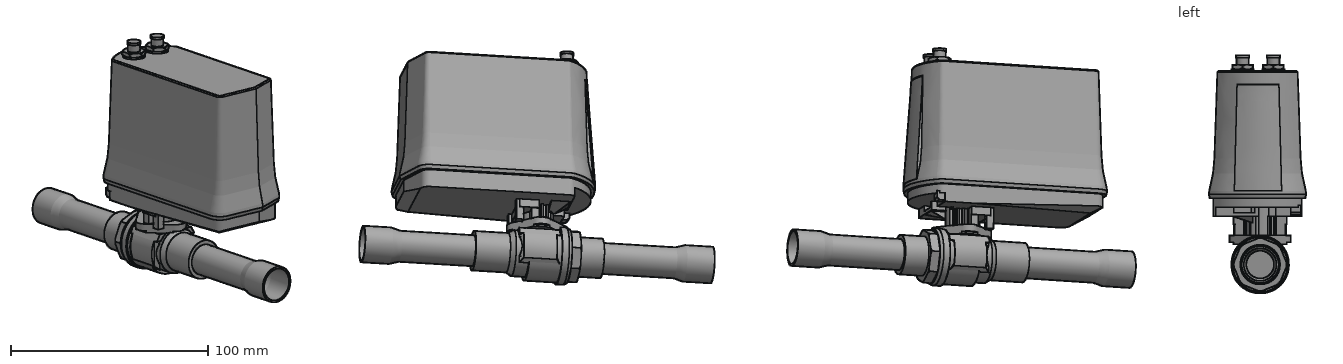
import cadquery as cq
import math


PIPE_HALF_LENGTH = 90.0
SOCKET_RADIUS = 9.35
SOCKET_BORE_RADIUS = 8.3
SOCKET_LENGTH = 14.2
SOCKET_TAPER_LENGTH = 4.9
TUBE_RADIUS = 7.94
TUBE_BORE_RADIUS = 7.0
SLEEVE_RADIUS = 10.1
SLEEVE_END_X = 33.0
BORE_END_X = 15.0

NUT_LEFT_X = -20.6
NUT_RIGHT_X = -15.8
NUT_CORNER_DIAMETER = 27.6
NUT_SIDES = 8
NUT_EDGE_CHAMFER = 0.5
FLANGE_RADIUS = 14.65
FLANGE_EDGE_RADIUS = 13.9
FLANGE_EDGE_X = -14.1
FLANGE_RIGHT_X = -10.6
BODY_RADIUS = 13.7
BODY_RIGHT_X = 5.9
NECKED_RADIUS = 11.8
NECKED_RIGHT_X = 12.7
BODY_END_X = 15.4
PAD_RADIUS = 14.2
PAD_LEFT_X = -8.0
PAD_RIGHT_X = 9.0
PAD_HALF_HEIGHT = 6.6
PAD_BEVEL = 2.0
SHOULDER_HALF_WIDTH = 10.4

PLATE_TOP_Z = 14.8
PLATE_EAR_Z = 11.2
PLATE_BOTTOM_Z = 10.2
PLATE_EAR_REACH = 15.6
PLATE_CORNER_RADIUS = 5.2
PLATE_LOWER_HALF_WIDTH = 13.6
NECK_RADIUS = 8.3
NECK_SLOT_WIDTH = 1.6
NECK_SLOT_DEPTH = 1.5
NECK_SLOT_SPACING = 2.7
NECK_NOSE_SLOTS_Y = (1.5, -4.6)
NECK_POST_LEFT_X = 9.3
NECK_POST_RIGHT_X = 12.9
NECK_POST_INNER_Y = 9.6
NECK_POST_OUTER_Y = 13.3
NECK_ARM_BOTTOM_Z = 20.4
NECK_ARM_OUTER_Y = 13.6
NECK_ARM_LEFT_X = 1.2
NECK_ARM_RIGHT_X = 11.2
NECK_LEG_RIGHT_X = 4.9
NECK_LEG_OUTER_Y = 12.8
NECK_WEB_LEFT_X = -15.0
NECK_WEB_RIGHT_X = -5.0
NECK_WEB_DROP = 3.4
NECK_WEB_Y = (3.7, 14.0)

NOSE_RADIUS = 29.6
REAR_X = 71.9
FRONT_Y = -23.4
BACK_Y = 26.1
REAR_BEVEL_START_X = 63.6
REAR_BEVEL_END_Y = 6.3
PLAN_CORNER_RADIUS = 6.5

COVER_TOP_Z = 98.25
COVER_RIM_Z = 35.6
COVER_PROFILE = (
    (33.6, 0.5),
    (COVER_RIM_Z, 0.0),
    (37.4, 0.2),
    (46.1, 2.1),
    (53.7, 2.8),
    (COVER_TOP_Z, 4.35),
)
ROOF_EDGE_CHAMFER = 0.7
BASE_TOP_Z = COVER_RIM_Z
BASE_INSET = 2.2
BASE_STEP_Z = 29.0
BASE_STEP_X = -15.5
BASE_BOTTOM_Z = 24.5
BASE_REAR_BEVEL_LENGTH = 6.0
BASE_REAR_BEVEL_HEIGHT = 3.0
BASE_FRONT_BEVEL_START_X = 0.0
BASE_FRONT_BEVEL_DEPTH = 6.0
OPEN_POCKET_Y = (-8.0, 0.8)
CLOSED_POCKET_Y = (2.8, 13.4)
CLOSED_POCKET_BOTTOM_Z = 26.2
POCKET_END_X = -7.0
LUG_LEFT_X = -19.5
LUG_BOTTOM_Z = 25.3
LUG_Y = (-20.5, -15.5)
LUG_CHAMFER = 1.2

PANEL_TOP_Z = 92.0
PANEL_FOLD_Z = 83.0
PANEL_BOTTOM_Z = 37.4
PANEL_TOP_RADIUS = 25.7
PANEL_FOLD_RADIUS = 26.2
PANEL_TOP_BEVEL_DEPTH = 0.4
PANEL_TOP_BEVEL_HEIGHT = 0.9
PANEL_CENTRE_Y = 1.1
PANEL_TOP_HALF_WIDTH = 10.6
PANEL_BOTTOM_HALF_WIDTH = 12.0

CONNECTOR_X = -13.8
CONNECTOR_YS = (8.9, -6.7)
CONNECTOR_TOP_Z = 106.2
CONNECTOR_LIP_RADIUS = 3.45
CONNECTOR_LIP_HEIGHT = 1.2
CONNECTOR_STEM_RADIUS = 3.15
CONNECTOR_NUT_DIAMETER = 12.3
CONNECTOR_NUT_SIDES = 6
CONNECTOR_NUT_BOTTOM_Z = 99.2
CONNECTOR_NUT_TOP_Z = 101.3
CONNECTOR_NUT_CHAMFER = 0.6
CONNECTOR_WASHER_RADIUS = 5.7
EMBED = 1.0


def box(x_range, y_range, z_range):
    """Box given by its extents along the three axes."""
    sizes = [high - low for low, high in (x_range, y_range, z_range)]
    corner = (x_range[0], y_range[0], z_range[0])
    return cq.Workplane("XY").box(*sizes, centered=False).translate(corner)


def disc(radius, bottom, top):
    """Upright cylinder on the stem axis."""
    return cq.Workplane("XY").workplane(offset=bottom).circle(radius).extrude(top - bottom)


def bar(radius, left, right):
    """Cylinder along the pipe axis."""
    return cq.Workplane("YZ").workplane(offset=left).circle(radius).extrude(right - left)


def turned(points):
    """Solid turned about the pipe axis from (x, radius) points."""
    outline = [(points[0][0], 0), *points, (points[-1][0], 0)]
    return cq.Workplane("XY").polyline(outline).close().revolve(360, (0, 0, 0), (1, 0, 0))


def tetrahedron(corners):
    """Solid with four triangular faces, each face leaving out one of the corners."""
    faces = []
    for left_out in corners:
        triangle = [corner for corner in corners if corner is not left_out]
        faces.append(cq.Face.makeFromWires(cq.Wire.makePolygon(triangle, close=True)))
    return cq.Workplane(obj=cq.Solid.makeSolid(cq.Shell.makeShell(faces)))


def pipe_half():
    """Tube, swaged socket and sleeve on the +X side, not yet bored."""
    socket_x = PIPE_HALF_LENGTH - SOCKET_LENGTH
    taper_x = socket_x - SOCKET_TAPER_LENGTH
    return turned([
        (0, SLEEVE_RADIUS),
        (SLEEVE_END_X, SLEEVE_RADIUS),
        (SLEEVE_END_X, TUBE_RADIUS),
        (taper_x, TUBE_RADIUS),
        (socket_x, SOCKET_RADIUS),
        (PIPE_HALF_LENGTH, SOCKET_RADIUS),
    ])


def pipe_bore():
    """Bore of the +X pipe half, widened in the socket."""
    socket_x = PIPE_HALF_LENGTH - SOCKET_LENGTH
    return turned([
        (BORE_END_X, TUBE_BORE_RADIUS),
        (socket_x - SOCKET_TAPER_LENGTH, TUBE_BORE_RADIUS),
        (socket_x, SOCKET_BORE_RADIUS),
        (PIPE_HALF_LENGTH, SOCKET_BORE_RADIUS),
    ])


def union_nut():
    nut = (
        cq.Workplane("YZ").workplane(offset=NUT_LEFT_X)
        .polygon(NUT_SIDES, NUT_CORNER_DIAMETER)
        .extrude(NUT_RIGHT_X - NUT_LEFT_X)
    )
    corner = NUT_CORNER_DIAMETER / 2
    envelope = turned([
        (NUT_LEFT_X, corner - NUT_EDGE_CHAMFER),
        (NUT_LEFT_X + NUT_EDGE_CHAMFER, corner),
        (NUT_RIGHT_X, corner),
    ])
    return nut.intersect(envelope)


def valve_body():
    """Flange and ball chamber turned about the pipe, with raised side pads under a sloping shoulder."""
    body = turned([
        (NUT_RIGHT_X, FLANGE_EDGE_RADIUS),
        (FLANGE_EDGE_X, FLANGE_RADIUS),
        (FLANGE_RIGHT_X, FLANGE_RADIUS),
        (FLANGE_RIGHT_X, BODY_RADIUS),
        (BODY_RIGHT_X, BODY_RADIUS),
        (BODY_RIGHT_X, NECKED_RADIUS),
        (NECKED_RIGHT_X, NECKED_RADIUS),
        (BODY_END_X, SLEEVE_RADIUS),
    ])
    envelope = bar(PAD_RADIUS, FLANGE_RIGHT_X, NECKED_RIGHT_X)
    pad_edge_y = math.sqrt(PAD_RADIUS**2 - PAD_HALF_HEIGHT**2)
    length = PAD_RIGHT_X - PAD_LEFT_X
    middle_x = (PAD_LEFT_X + PAD_RIGHT_X) / 2
    for side in (-1, 1):
        pad = (
            cq.Workplane("XZ").workplane(offset=side * (pad_edge_y - PAD_BEVEL))
            .center(middle_x, 0)
            .rect(length + 2 * PAD_BEVEL, 2 * (PAD_HALF_HEIGHT + PAD_BEVEL))
            .workplane(offset=side * PAD_BEVEL)
            .rect(length, 2 * PAD_HALF_HEIGHT)
            .workplane(offset=side * (PAD_RADIUS - pad_edge_y))
            .rect(length, 2 * PAD_HALF_HEIGHT)
            .loft(ruled=True)
        )
        body = body.union(pad.intersect(envelope))
    shoulder = (
        cq.Workplane("YZ").workplane(offset=PAD_LEFT_X - PAD_BEVEL)
        .polyline([
            (-pad_edge_y, PAD_HALF_HEIGHT),
            (pad_edge_y, PAD_HALF_HEIGHT),
            (SHOULDER_HALF_WIDTH, PLATE_BOTTOM_Z),
            (-SHOULDER_HALF_WIDTH, PLATE_BOTTOM_Z),
        ])
        .close()
        .extrude(length + 2 * PAD_BEVEL)
    )
    return body.union(shoulder)


def mounting_plate():
    """Square plate turned by 45 degrees, with a rounded ear at each corner."""
    corner_reach = PLATE_EAR_REACH + PLATE_CORNER_RADIUS * (math.sqrt(2) - 1)
    side = corner_reach * math.sqrt(2)
    plate = (
        cq.Workplane("XY").workplane(offset=PLATE_BOTTOM_Z)
        .transformed(rotate=(0, 0, 45))
        .rect(side, side)
        .extrude(PLATE_TOP_Z - PLATE_BOTTOM_Z)
        .edges("|Z").fillet(PLATE_CORNER_RADIUS)
    )
    ears = (-PLATE_EAR_REACH, PLATE_EAR_REACH)
    upper = box(ears, ears, (PLATE_EAR_Z, PLATE_TOP_Z))
    inner = (-PLATE_LOWER_HALF_WIDTH, PLATE_LOWER_HALF_WIDTH)
    lower = box(inner, inner, (PLATE_BOTTOM_Z, PLATE_TOP_Z))
    return plate.intersect(upper.union(lower))


def neck():
    """Slotted stem housing, an arm with a leg and a post on each side, and a sloping web."""
    top = BASE_STEP_Z
    heights = (PLATE_TOP_Z - EMBED, top)
    stem = disc(NECK_RADIUS, *heights)
    for position in (-2, -1, 0):
        centre = position * NECK_SLOT_SPACING
        slot_x = (centre - NECK_SLOT_WIDTH / 2, centre + NECK_SLOT_WIDTH / 2)
        for side in (-1, 1):
            surface = side * math.sqrt(NECK_RADIUS**2 - centre**2)
            slot_y = sorted((surface - side * NECK_SLOT_DEPTH, side * NECK_RADIUS))
            stem = stem.cut(box(slot_x, slot_y, (PLATE_TOP_Z, BASE_BOTTOM_Z)))
    for centre in NECK_NOSE_SLOTS_Y:
        slot_y = (centre - NECK_SLOT_WIDTH / 2, centre + NECK_SLOT_WIDTH / 2)
        surface = -math.sqrt(NECK_RADIUS**2 - centre**2)
        slot_x = (-NECK_RADIUS, surface + NECK_SLOT_DEPTH)
        stem = stem.cut(box(slot_x, slot_y, (PLATE_TOP_Z, BASE_BOTTOM_Z)))
    for side in (-1, 1):
        post_y = sorted((side * NECK_POST_INNER_Y, side * NECK_POST_OUTER_Y))
        stem = stem.union(box((NECK_POST_LEFT_X, NECK_POST_RIGHT_X), post_y, heights))
        arm_y = sorted((0, side * NECK_ARM_OUTER_Y))
        stem = stem.union(box((NECK_ARM_LEFT_X, NECK_ARM_RIGHT_X), arm_y, (NECK_ARM_BOTTOM_Z, top)))
        leg_y = sorted((0, side * NECK_LEG_OUTER_Y))
        stem = stem.union(box((NECK_ARM_LEFT_X, NECK_LEG_RIGHT_X), leg_y, heights))
    web_y, web_end_y = NECK_WEB_Y
    web_top = BASE_BOTTOM_Z + EMBED
    web = (
        cq.Workplane("XZ").workplane(offset=-web_end_y)
        .moveTo(NECK_WEB_LEFT_X, web_top)
        .lineTo(NECK_WEB_LEFT_X, BASE_BOTTOM_Z)
        .lineTo(-NECK_RADIUS, BASE_BOTTOM_Z - NECK_WEB_DROP)
        .lineTo(NECK_WEB_RIGHT_X, BASE_BOTTOM_Z - NECK_WEB_DROP)
        .lineTo(NECK_WEB_RIGHT_X, web_top)
        .close()
        .extrude(web_end_y - web_y)
    )
    slope = (
        cq.Workplane("YZ").workplane(offset=NECK_WEB_LEFT_X)
        .polyline([
            (web_y, BASE_BOTTOM_Z - NECK_WEB_DROP),
            (web_end_y, BASE_BOTTOM_Z),
            (web_end_y, web_top),
            (web_y, web_top),
        ])
        .close()
        .extrude(NECK_WEB_RIGHT_X - NECK_WEB_LEFT_X)
    )
    return stem.union(web.intersect(slope))


def housing_plan():
    """Widest outline of the housing, with its corners rounded."""
    front_corner = (-math.sqrt(NOSE_RADIUS**2 - FRONT_Y**2), FRONT_Y)
    back_corner = (-math.sqrt(NOSE_RADIUS**2 - BACK_Y**2), BACK_Y)
    rear_corner = (REAR_X, FRONT_Y)
    bevel_corner = (REAR_BEVEL_START_X, BACK_Y)
    outline = (
        cq.Workplane("XY")
        .moveTo(*front_corner)
        .lineTo(*rear_corner)
        .lineTo(REAR_X, REAR_BEVEL_END_Y)
        .lineTo(*bevel_corner)
        .lineTo(*back_corner)
        .threePointArc((-NOSE_RADIUS, 0), front_corner)
        .close()
        .val()
    )
    rounded = [
        vertex for vertex in outline.Vertices()
        if vertex.Y < FRONT_Y + EMBED or vertex.Y > BACK_Y - EMBED
    ]
    return outline.fillet2D(PLAN_CORNER_RADIUS, rounded)


def inset_plan(inset):
    """Housing outline drawn in by the given distance."""
    plan = housing_plan()
    return plan.offset2D(-inset, "intersection")[0] if inset else plan


def cover():
    sections = [inset_plan(inset).translate(cq.Vector(0, 0, z)) for z, inset in COVER_PROFILE]
    shell = cq.Workplane(obj=cq.Solid.makeLoft(sections, True))
    return shell.faces(">Z").edges().chamfer(ROOF_EDGE_CHAMFER)


def end_panel():
    """Panel that stands out of the rounded end where the cover draws in above its flare."""
    cone = (
        cq.Workplane("XZ")
        .polyline([
            (0, PANEL_BOTTOM_Z),
            (-NOSE_RADIUS, PANEL_BOTTOM_Z),
            (-PANEL_FOLD_RADIUS, PANEL_FOLD_Z),
            (-PANEL_TOP_RADIUS, PANEL_TOP_Z - PANEL_TOP_BEVEL_HEIGHT),
            (PANEL_TOP_BEVEL_DEPTH - PANEL_TOP_RADIUS, PANEL_TOP_Z),
            (0, PANEL_TOP_Z),
        ])
        .close()
        .revolve(360, (0, 0, 0), (0, 1, 0))
    )
    front = (
        cq.Workplane("YZ").workplane(offset=-NOSE_RADIUS)
        .polyline([
            (PANEL_CENTRE_Y - PANEL_BOTTOM_HALF_WIDTH, PANEL_BOTTOM_Z),
            (PANEL_CENTRE_Y + PANEL_BOTTOM_HALF_WIDTH, PANEL_BOTTOM_Z),
            (PANEL_CENTRE_Y + PANEL_TOP_HALF_WIDTH, PANEL_TOP_Z),
            (PANEL_CENTRE_Y - PANEL_TOP_HALF_WIDTH, PANEL_TOP_Z),
        ])
        .close()
        .extrude(NOSE_RADIUS)
    )
    return cone.intersect(front)


def base():
    """Skirt under the cover: shallow at the rounded end, deeper behind a step with two pockets."""
    height = BASE_TOP_Z - BASE_BOTTOM_Z
    foot = cq.Workplane(obj=cq.Solid.extrudeLinear(inset_plan(BASE_INSET), [], cq.Vector(0, 0, height)))
    foot = foot.translate((0, 0, BASE_BOTTOM_Z))
    foot = foot.cut(box((-NOSE_RADIUS, BASE_STEP_X), (FRONT_Y, BACK_Y), (BASE_BOTTOM_Z, BASE_STEP_Z)))

    rear_x = REAR_X - BASE_INSET
    bevel_top_z = BASE_BOTTOM_Z + BASE_REAR_BEVEL_HEIGHT
    rear_bevel = (
        cq.Workplane("XZ").workplane(offset=-BACK_Y)
        .polyline([
            (rear_x - BASE_REAR_BEVEL_LENGTH, BASE_BOTTOM_Z),
            (rear_x, BASE_BOTTOM_Z),
            (rear_x, bevel_top_z),
        ])
        .close()
        .extrude(BACK_Y - FRONT_Y)
    )
    front_y = FRONT_Y + BASE_INSET
    front_bevel = tetrahedron([
        cq.Vector(BASE_FRONT_BEVEL_START_X, front_y, BASE_BOTTOM_Z),
        cq.Vector(rear_x, front_y, BASE_BOTTOM_Z),
        cq.Vector(rear_x, front_y + BASE_FRONT_BEVEL_DEPTH, BASE_BOTTOM_Z),
        cq.Vector(rear_x, front_y, bevel_top_z),
    ])
    foot = foot.cut(rear_bevel).cut(front_bevel)

    pocket_x = (BASE_STEP_X, POCKET_END_X)
    foot = foot.cut(box(pocket_x, OPEN_POCKET_Y, (BASE_BOTTOM_Z, BASE_STEP_Z)))
    foot = foot.cut(box(pocket_x, CLOSED_POCKET_Y, (CLOSED_POCKET_BOTTOM_Z, BASE_STEP_Z)))

    lug = box((LUG_LEFT_X, BASE_STEP_X + EMBED), LUG_Y, (LUG_BOTTOM_Z, BASE_STEP_Z + EMBED))
    return foot.union(lug.edges("<X and <Z").chamfer(LUG_CHAMFER))


def connector(y):
    """Round plug with a lip, standing in a hexagon nut on a washer."""
    plug = disc(CONNECTOR_STEM_RADIUS, COVER_TOP_Z - EMBED, CONNECTOR_TOP_Z)
    lip = disc(CONNECTOR_LIP_RADIUS, CONNECTOR_TOP_Z - CONNECTOR_LIP_HEIGHT, CONNECTOR_TOP_Z)
    washer = disc(CONNECTOR_WASHER_RADIUS, COVER_TOP_Z - EMBED, CONNECTOR_NUT_BOTTOM_Z)
    nut = (
        cq.Workplane("XY").workplane(offset=CONNECTOR_NUT_BOTTOM_Z)
        .polygon(CONNECTOR_NUT_SIDES, CONNECTOR_NUT_DIAMETER)
        .extrude(CONNECTOR_NUT_TOP_Z - CONNECTOR_NUT_BOTTOM_Z)
    )
    envelope = disc(CONNECTOR_NUT_DIAMETER / 2, CONNECTOR_NUT_BOTTOM_Z, CONNECTOR_NUT_TOP_Z)
    nut = nut.intersect(envelope.faces("<Z or >Z").chamfer(CONNECTOR_NUT_CHAMFER))
    return plug.union(lip).union(washer).union(nut).translate((CONNECTOR_X, y, 0))


result = pipe_half().union(pipe_half().mirror("YZ"))
for piece in (union_nut(), valve_body(), mounting_plate(), neck(), base(), cover(), end_panel()):
    result = result.union(piece)
for connector_y in CONNECTOR_YS:
    result = result.union(connector(connector_y))
result = result.cut(pipe_bore()).cut(pipe_bore().mirror("YZ"))